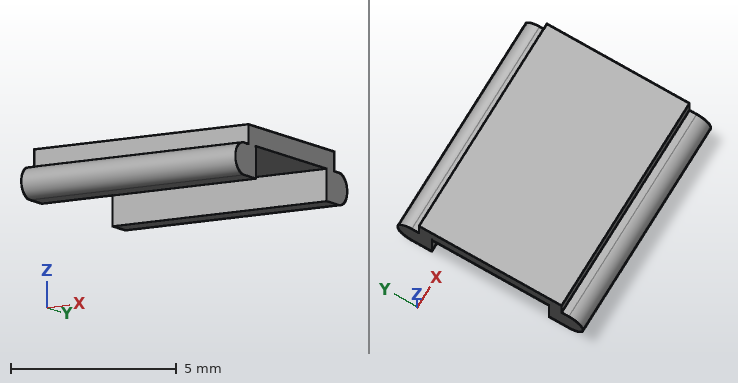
import cadquery as cq

length = 7.55
width = 6.5
height = 1.6

plate_width = 5.0
channel_width = 4.1
rail_radius = 0.5
rail_height = 2 * rail_radius
plate_thickness = height - rail_height
rail_center_y = width / 2 - rail_radius


def make_plate():
    """Flat top plate resting on the two rails."""
    return cq.Workplane("XY").workplane(offset=rail_height).rect(length, plate_width).extrude(plate_thickness)


def make_rail(side):
    """Rail with a flat inner face and a half-round outer edge; side is -1 or +1 along Y."""
    inner_y = side * channel_width / 2
    round_y = side * rail_center_y
    return (
        cq.Workplane("YZ")
        .workplane(offset=-length / 2)
        .moveTo(inner_y, 0)
        .lineTo(round_y, 0)
        .threePointArc((side * width / 2, rail_radius), (round_y, rail_height))
        .lineTo(inner_y, rail_height)
        .close()
        .extrude(length)
    )


result = make_plate()
for side in (-1, 1):
    result = result.union(make_rail(side))